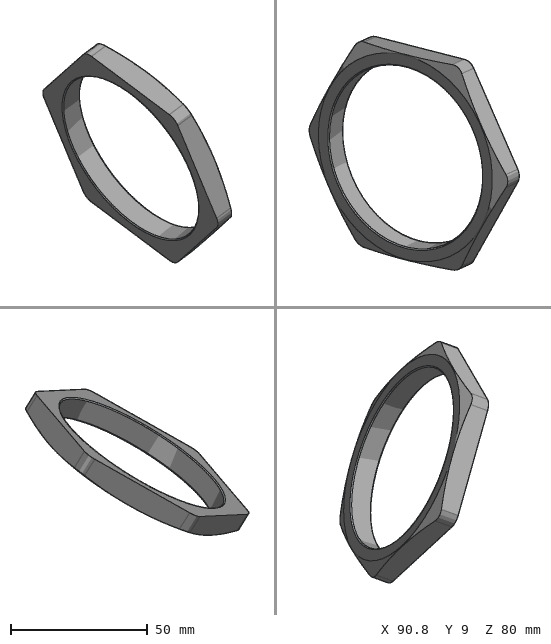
import cadquery as cq
import math

corner_width = 90.8
across_flats = 80.0
thickness = 9.0
bore_diameter = 70.0
bore_chamfer = 0.45
crown_diameter = 79.6
crown_drop = 1.9

sharp_width = across_flats / math.cos(math.radians(30))
corner_radius = (sharp_width - corner_width) / 2 / (1 / math.cos(math.radians(30)) - 1)


def hexagon_body():
    """Hexagonal plate with rounded corners, two of them on the X axis."""
    return (
        cq.Workplane("XZ")
        .polygon(6, sharp_width)
        .extrude(thickness / 2, both=True)
        .edges("|Y")
        .fillet(corner_radius)
    )


def crown_envelope():
    """Turned blank whose cone cuts back the hexagon corners on the +Y side."""
    crown_radius = crown_diameter / 2
    slope = crown_drop / (corner_width / 2 - crown_radius)
    outer_radius = sharp_width / 2
    outer_drop = slope * (outer_radius - crown_radius)
    return (
        cq.Workplane("XY")
        .moveTo(0, -thickness / 2)
        .lineTo(outer_radius, -thickness / 2)
        .lineTo(outer_radius, thickness / 2 - outer_drop)
        .lineTo(crown_radius, thickness / 2)
        .lineTo(0, thickness / 2)
        .close()
        .revolve(360, (0, 0, 0), (0, 1, 0))
    )


def bore():
    """Through bore with a small chamfer at both mouths."""
    radius = bore_diameter / 2
    mouth_radius = radius + bore_chamfer
    half = thickness / 2
    return (
        cq.Workplane("XY")
        .moveTo(0, -half)
        .lineTo(mouth_radius, -half)
        .lineTo(radius, -half + bore_chamfer)
        .lineTo(radius, half - bore_chamfer)
        .lineTo(mouth_radius, half)
        .lineTo(0, half)
        .close()
        .revolve(360, (0, 0, 0), (0, 1, 0))
    )


result = hexagon_body().intersect(crown_envelope()).cut(bore())